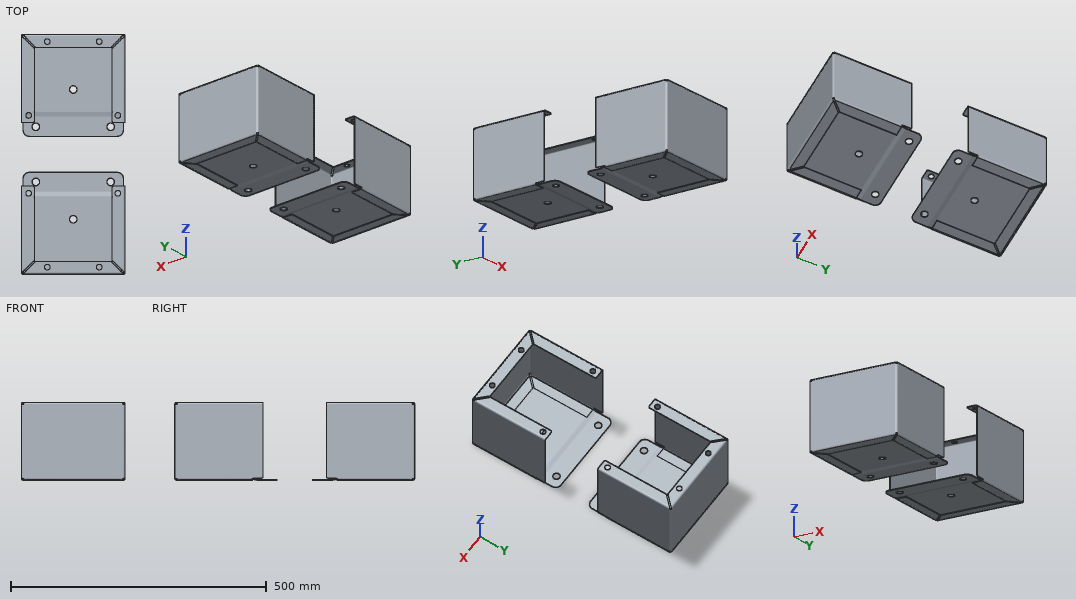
import cadquery as cq
import math

sheet = 1.905
width = 203.2
shell_height = 152.4
shell_depth = 173.04
plate_reach = 200.025
lip_gap = 69.85
foot_drop = 0.127

inner_bend = 2.0
outer_bend = inner_bend + sheet
flange = 25.4
flange_corner_radius = 3.175
mitre_gap = 3.175
wall_corner_radius = 3.175

flange_hole_diameter = 11.11
flange_hole_inset = 14.29
rear_hole_spacing = 101.6

lip_width = 196.85
plate_back_gap = outer_bend
plate_chamfer = 6.35
lip_corner_radius = 12.7
step_start = 152.4
step_run = 9.0
step_clearance = 0.5
lower_flange_end = step_start - step_clearance
plate_hole_diameter = 14.29
center_hole_y = 107.95
lip_hole_spacing = 146.4
lip_hole_edge = 19.05


def bent_block(inset, bend_radius):
    """Block with rounded edges around the closed wall, set in from the outer faces."""
    return (
        cq.Workplane("XY")
        .box(
            width - 2 * inset,
            shell_depth - inset,
            shell_height - 2 * inset,
            centered=(True, False, False),
        )
        .edges("|Y or (<Y and |X) or (<Y and |Z)")
        .fillet(bend_radius)
        .translate((0, inset, inset))
    )


def cut_mitre_slots(shell):
    """Part neighbouring flanges, and their bends, along the diagonal of each corner."""
    slot_length = 2 * math.sqrt(2) * flange
    slot = cq.Workplane("XY").box(slot_length, mitre_gap, outer_bend)
    for side in (-1, 1):
        diagonal_slot = slot.rotate((0, 0, 0), (0, 0, 1), -side * 45)
        for z in (outer_bend / 2, shell_height - outer_bend / 2):
            shell = shell.cut(diagonal_slot.translate((side * width / 2, 0, z)))
    return shell


def fillet_nearest(body, direction, point, radius):
    """Round the edge along the given direction whose middle lies nearest the point."""
    nearest = cq.selectors.NearestToPointSelector(point)
    return body.edges(direction).edges(nearest).fillet(radius)


def make_shell():
    """Three-walled shell, closed at y = 0, with inward flanges at top and bottom."""
    shell = bent_block(0, outer_bend).cut(bent_block(sheet, inner_bend))

    opening = (
        cq.Workplane("XY")
        .box(width - 2 * flange, shell_depth, shell_height, centered=(True, False, False))
        .translate((0, flange, 0))
    )
    shell = shell.cut(opening)

    shell = cut_mitre_slots(shell)

    trim = (
        cq.Workplane("XY")
        .box(width, shell_depth - lower_flange_end, outer_bend, centered=(True, False, False))
        .translate((0, lower_flange_end, 0))
    )
    shell = shell.cut(trim)

    for side in (-1, 1):
        flange_tip = (side * (width / 2 - flange), shell_depth, shell_height - sheet / 2)
        shell = fillet_nearest(shell, "|Z", flange_tip, flange_corner_radius)
        wall_tip = (side * (width - sheet) / 2, shell_depth, outer_bend)
        shell = fillet_nearest(shell, "|X", wall_tip, wall_corner_radius)

    side_x = width / 2 - flange_hole_inset
    front_y = shell_depth - flange_hole_inset
    hole_centers = [
        (-side_x, front_y),
        (side_x, front_y),
        (-rear_hole_spacing / 2, flange_hole_inset),
        (rear_hole_spacing / 2, flange_hole_inset),
    ]
    holes = (
        cq.Workplane("XY", origin=(0, 0, shell_height - sheet))
        .pushPoints(hole_centers)
        .circle(flange_hole_diameter / 2)
        .extrude(sheet)
    )
    return shell.cut(holes)


def make_plate():
    """Floor plate lying on the lower flanges, stepping down to a lip beyond them."""
    step_end = step_start + step_run
    top = 2 * sheet
    lip_top = sheet - foot_drop
    slope = math.atan2(top - lip_top, step_run)
    shift = sheet * math.tan(slope / 2)
    plate = (
        cq.Workplane("YZ")
        .moveTo(plate_back_gap, sheet)
        .lineTo(step_start - shift, sheet)
        .lineTo(step_end - shift, -foot_drop)
        .lineTo(plate_reach, -foot_drop)
        .lineTo(plate_reach, lip_top)
        .lineTo(step_end, lip_top)
        .lineTo(step_start, top)
        .lineTo(plate_back_gap, top)
        .close()
        .extrude(lip_width / 2, both=True)
    )
    upper_inside = (step_start - shift, sheet)
    upper_outside = (step_start, top)
    lower_inside = (step_end, lip_top)
    lower_outside = (step_end - shift, -foot_drop)
    for (y, z), bend_radius in (
        (upper_inside, inner_bend),
        (upper_outside, outer_bend),
        (lower_inside, inner_bend),
        (lower_outside, outer_bend),
    ):
        plate = fillet_nearest(plate, "|X", (0, y, z), bend_radius)

    floor_width = width - 2 * outer_bend
    side_trim_width = (lip_width - floor_width) / 2
    for side in (-1, 1):
        side_trim = (
            cq.Workplane("XY")
            .box(side_trim_width, lower_flange_end, top, centered=(True, False, False))
            .translate((side * (floor_width + side_trim_width) / 2, 0, 0))
        )
        plate = plate.cut(side_trim)

    plate = plate.edges("|Z and <Y").chamfer(plate_chamfer)
    plate = plate.edges("|Z and >Y").fillet(lip_corner_radius)

    lip_hole_y = plate_reach - lip_hole_edge
    hole_centers = [
        (0, center_hole_y),
        (-lip_hole_spacing / 2, lip_hole_y),
        (lip_hole_spacing / 2, lip_hole_y),
    ]
    holes = (
        cq.Workplane("XY", origin=(0, 0, -foot_drop))
        .pushPoints(hole_centers)
        .circle(plate_hole_diameter / 2)
        .extrude(top + foot_drop)
    )
    return plate.cut(holes)


closed_wall_y = -(plate_reach + lip_gap / 2)
bodies = []
for turn in (0, 180):
    for body in (make_shell(), make_plate()):
        placed = body.translate((0, closed_wall_y, 0)).rotate((0, 0, 0), (0, 0, 1), turn)
        bodies.append(placed.val())

result = cq.Compound.makeCompound(bodies)